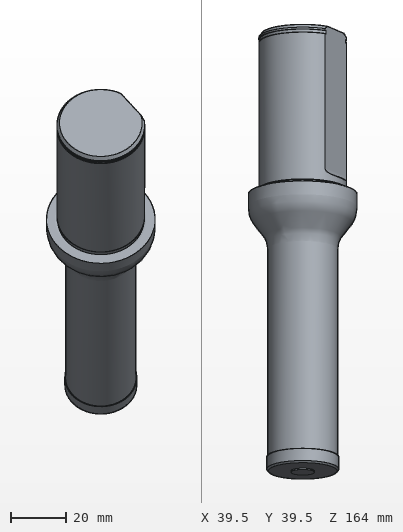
import cadquery as cq

total_length = 164.0
shank_length = 59.9
bottom_z = shank_length - total_length

shank_radius = 32.0 / 2
relief_radius = 31.5 / 2
relief_height = 1.5
relief_chamfer = shank_radius - relief_radius
end_chamfer_height = 1.3
end_chamfer_width = 1.0
groove_offset = 2.0
groove_width = 1.1
groove_depth = 0.3

flat_distance = 13.8
flat_length = 53.5

flange_radius = 39.5 / 2
flange_height = 5.1
seat_recess_radius = 16.5
seat_recess_depth = 0.2
neck_radius = 25.6 / 2
neck_start_z = -20.8

head_radius = 13.1
head_length = 5.7
head_chamfer = 0.7
tip_radius = 4.3
tip_height = 0.5
head_top_z = bottom_z + head_length


def make_holder():
    groove_top = shank_length - groove_offset
    groove_bottom = groove_top - groove_width
    groove_radius = shank_radius - groove_depth
    downward = (0, -1)
    profile = (
        cq.Workplane("XZ")
        .moveTo(0, head_top_z)
        .lineTo(0, shank_length)
        .lineTo(shank_radius - end_chamfer_width, shank_length)
        .lineTo(shank_radius, shank_length - end_chamfer_height)
        .lineTo(shank_radius, groove_top)
        .lineTo(groove_radius, groove_top)
        .lineTo(groove_radius, groove_bottom)
        .lineTo(shank_radius, groove_bottom)
        .lineTo(shank_radius, relief_height + relief_chamfer)
        .lineTo(relief_radius, relief_height)
        .lineTo(relief_radius, -seat_recess_depth)
        .lineTo(seat_recess_radius, 0)
        .lineTo(flange_radius, 0)
        .lineTo(flange_radius, -flange_height)
        .spline([(neck_radius, neck_start_z)], tangents=[downward, downward], includeCurrent=True)
        .lineTo(neck_radius, head_top_z)
        .close()
    )
    return profile.revolve(360, (0, 0), (0, 1)).cut(make_flat_cutter())


def make_flat_cutter():
    flat_end_z = shank_length - flat_length
    cut_depth = shank_radius - flat_distance
    return (
        cq.Workplane("YZ")
        .moveTo(flat_distance, shank_length)
        .lineTo(flat_distance, flat_end_z)
        .tangentArcPoint((shank_radius, flat_end_z - cut_depth), relative=False)
        .lineTo(shank_radius, shank_length)
        .close()
        .extrude(shank_radius, both=True)
    )


def make_cutting_head():
    face_z = bottom_z + tip_height
    profile = (
        cq.Workplane("XZ")
        .moveTo(0, head_top_z)
        .lineTo(head_radius, head_top_z)
        .lineTo(head_radius, face_z + head_chamfer)
        .lineTo(head_radius - head_chamfer, face_z)
        .lineTo(tip_radius, face_z)
        .lineTo(tip_radius, bottom_z)
        .lineTo(0, bottom_z)
        .close()
    )
    return profile.revolve(360, (0, 0), (0, 1))


holder = make_holder()
cutting_head = make_cutting_head()
result = cq.Compound.makeCompound([holder.val(), cutting_head.val()])